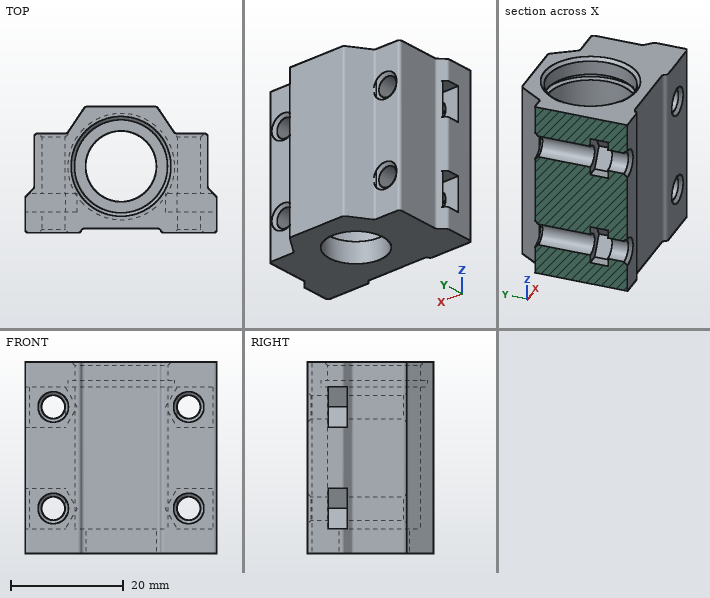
import cadquery as cq
import math

width = 34.0
depth = 22.4
length = 34.0
edge_radius = 0.6

shoulder_height = 17.65
shoulder_half_width = 15.4
step_low = 6.35
step_high = 8.0
ridge_top_half_width = 6.35
ridge_foot_half_width = 9.55
relief_depth = 0.78
relief_half_width = 7.05
relief_wall_run = 1.2

bore_y = 11.8
seat_diameter = 16.5
seat_chamfer = 0.6
ring_groove_diameter = 18.9
ring_groove_start = 3.3
ring_groove_width = 1.15
lip_diameter = 12.5
lip_thickness = ring_groove_start + ring_groove_width

hole_diameter = 4.1
countersink = 0.65
hole_spacing_x = 24.0
hole_spacing_z = 18.0
nut_across_flats = 7.2
nut_slot_low = 3.75
nut_slot_high = 7.07


def make_body():
    """Extrude the half profile, round its long edges and mirror it."""
    half_width = width / 2
    relief_outer = relief_half_width + relief_wall_run / 2
    relief_inner = relief_half_width - relief_wall_run / 2
    half = (
        cq.Workplane("XY")
        .workplane(offset=-length / 2)
        .moveTo(0, relief_depth)
        .lineTo(relief_inner, relief_depth)
        .tangentArcPoint((relief_half_width, relief_depth / 2), relative=False)
        .tangentArcPoint((relief_outer, 0), relative=False)
        .lineTo(half_width, 0)
        .lineTo(half_width, step_low)
        .lineTo(shoulder_half_width, step_high)
        .lineTo(shoulder_half_width, shoulder_height)
        .lineTo(ridge_foot_half_width, shoulder_height)
        .lineTo(ridge_top_half_width, depth)
        .lineTo(0, depth)
        .close()
        .extrude(length)
    )
    rounded_corners = [
        (half_width, 0),
        (half_width, step_low),
        (shoulder_half_width, step_high),
        (shoulder_half_width, shoulder_height),
        (ridge_foot_half_width, shoulder_height),
        (ridge_top_half_width, depth),
    ]
    for x, y in rounded_corners:
        corner_edge = cq.selectors.NearestToPointSelector((x, y, 0))
        half = half.edges("|Z").edges(corner_edge).fillet(edge_radius)
    return half.union(half.mirror("YZ"))


def make_bore():
    """Revolve the stepped bore with its entry chamfer and retaining ring groove."""
    top = length / 2
    bottom = -length / 2
    seat_radius = seat_diameter / 2
    groove_radius = ring_groove_diameter / 2
    lip_radius = lip_diameter / 2
    groove_top = top - ring_groove_start
    groove_bottom = groove_top - ring_groove_width
    lip_top = bottom + lip_thickness
    return (
        cq.Workplane("XZ")
        .polyline([
            (0, bottom),
            (lip_radius, bottom),
            (lip_radius, lip_top),
            (seat_radius, lip_top),
            (seat_radius, groove_bottom),
            (groove_radius, groove_bottom),
            (groove_radius, groove_top),
            (seat_radius, groove_top),
            (seat_radius, top - seat_chamfer),
            (seat_radius + seat_chamfer, top),
            (0, top),
        ])
        .close()
        .revolve(360, (0, 0), (0, 1))
        .translate((0, bore_y, 0))
    )


def make_screw_hole(x, z):
    """Revolve a through hole countersunk at the base and at the shoulder."""
    radius = hole_diameter / 2
    mouth_radius = radius + countersink
    return (
        cq.Workplane("XY")
        .polyline([
            (0, 0),
            (mouth_radius, 0),
            (radius, countersink),
            (radius, shoulder_height - countersink),
            (mouth_radius, shoulder_height),
            (0, shoulder_height),
        ])
        .close()
        .revolve(360, (0, 0), (0, 1))
        .translate((x, 0, z))
    )


def make_nut_slot(side, z):
    """Slot with a 120 degree inner end that holds a hexagon nut on the hole axis."""
    half_flats = nut_across_flats / 2
    hole_x = hole_spacing_x / 2
    corner_radius = half_flats / math.cos(math.radians(30))
    inner_tip = hole_x - corner_radius
    inner_corner = hole_x - corner_radius / 2
    outer = width / 2
    return (
        cq.Workplane("XZ", origin=(0, nut_slot_low, z))
        .polyline([
            (side * outer, -half_flats),
            (side * inner_corner, -half_flats),
            (side * inner_tip, 0),
            (side * inner_corner, half_flats),
            (side * outer, half_flats),
        ])
        .close()
        .extrude(-(nut_slot_high - nut_slot_low))
    )


result = make_body().cut(make_bore())
for side in (-1, 1):
    for hole_z in (-hole_spacing_z / 2, hole_spacing_z / 2):
        result = result.cut(make_screw_hole(side * hole_spacing_x / 2, hole_z))
        result = result.cut(make_nut_slot(side, hole_z))